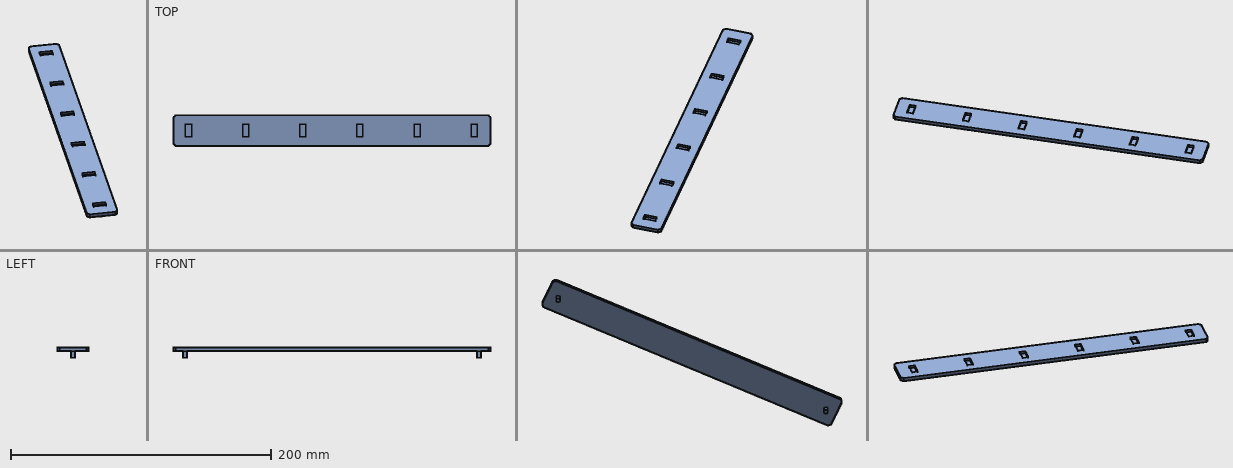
import cadquery as cq

plate_length = 244
plate_width = 24.0
plate_thickness = 3.0
corner_chamfer = 2.0

pocket_count = 6
pocket_pitch = 44
pocket_length_x = 4.6
pocket_length_y = 9.8
pocket_depth = 2.0
pocket_row_offset = -0.5

overall_height = 8.0
pin_diameter = 3.2
pin_offset = 113.0
pin_length = overall_height - plate_thickness


def make_plate():
    plate = cq.Workplane("XY").box(
        plate_length, plate_width, plate_thickness, centered=(True, True, False)
    )
    return plate.edges("|Z").chamfer(corner_chamfer)


def make_pockets():
    return (
        cq.Workplane("XY", origin=(pocket_row_offset, 0, plate_thickness))
        .rarray(pocket_pitch, 2.5, pocket_count, 1)
        .rect(pocket_length_x, pocket_length_y)
        .extrude(-pocket_depth)
    )


def make_pins():
    return (
        cq.Workplane("XY")
        .pushPoints([(-pin_offset, 0), (pin_offset, 0)])
        .circle(pin_diameter / 2)
        .extrude(-pin_length)
    )


result = make_plate().cut(make_pockets()).union(make_pins())